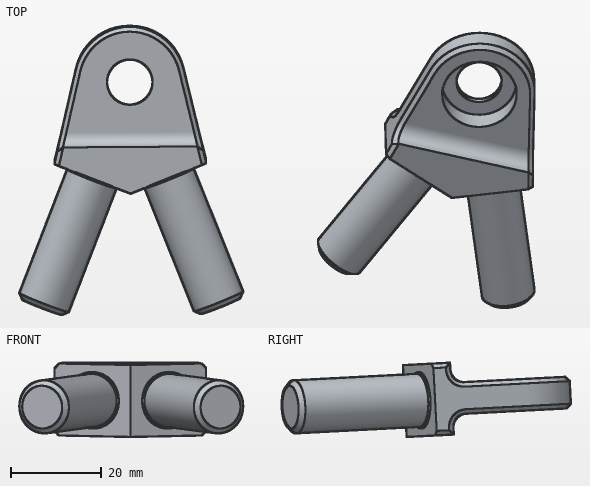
import cadquery as cq
import math

eye_diameter = 10.0
eye_lip = 1.5
recess_diameter = 16.5
lug_radius = 12.25
lug_thickness = 7.05
side_taper = 13.5

block_thickness = 16.0
block_half_width = 16.8
block_back_y = -14.1
apex_y = -24.5
neck_fillet = 2.95
edge_chamfer = 1.0

splay = 21.5
peg_diameter = 11.8
peg_length = 30.9
peg_offset = 9.05
peg_chamfer = 1.15
peg_root_flare = 0.4

pitch = 3.0
yaw = 0.4

splay_angle = math.radians(splay)
taper_angle = math.radians(side_taper)


def make_outline():
    """Full-height prism of the plan outline."""
    tangent_x = lug_radius * math.cos(taper_angle)
    tangent_y = lug_radius * math.sin(taper_angle)
    corner_y = apex_y + block_half_width * math.tan(splay_angle)
    return (
        cq.Workplane("XY")
        .moveTo(tangent_x, tangent_y)
        .threePointArc((0, lug_radius), (-tangent_x, tangent_y))
        .lineTo(-block_half_width, corner_y)
        .lineTo(0, apex_y)
        .lineTo(block_half_width, corner_y)
        .close()
        .extrude(block_thickness / 2, both=True)
    )


def make_relief(side):
    """Material removed above (side=1) or below (side=-1) the lug."""
    reach = 2 * lug_radius
    lug_z = side * lug_thickness / 2
    outer_z = side * block_thickness
    fillet_z = lug_z + side * neck_fillet
    fillet_y = block_back_y + neck_fillet
    bend = neck_fillet * (1 - math.sqrt(0.5))
    return (
        cq.Workplane("YZ")
        .moveTo(reach, lug_z)
        .lineTo(fillet_y, lug_z)
        .threePointArc((block_back_y + bend, lug_z + side * bend), (block_back_y, fillet_z))
        .lineTo(block_back_y, outer_z)
        .lineTo(reach, outer_z)
        .close()
        .extrude(2 * block_half_width, both=True)
    )


def is_wall_end(edge):
    """True for the upright edges at either end of a flat side wall."""
    box = edge.BoundingBox()
    tolerance = 0.005
    is_upright = box.ylen < tolerance
    return is_upright and abs(box.center.y - block_back_y) > tolerance


def make_body():
    """Lug and block with chamfered outer edges and the recessed eye."""
    body = make_outline().cut(make_relief(1)).cut(make_relief(-1))
    side_walls = body.faces("<X or >X or >Y")
    rim = side_walls.edges().filter(lambda edge: not is_wall_end(edge))
    body = rim.chamfer(edge_chamfer)
    return body.cut(make_eye())


def make_eye():
    """Eye bore through the lug and the wider recess below its lip."""
    lug_top = cq.Workplane("XY").workplane(offset=lug_thickness / 2)
    bore = lug_top.circle(eye_diameter / 2).extrude(-lug_thickness)
    recess_depth = lug_thickness - eye_lip
    lug_bottom = cq.Workplane("XY").workplane(offset=-lug_thickness / 2)
    recess = lug_bottom.circle(recess_diameter / 2).extrude(recess_depth)
    return bore.union(recess)


def make_peg(side):
    """Peg on the right (side=1) or left (side=-1) slanted face, flared at its root."""
    direction = cq.Vector(side * math.sin(splay_angle), -math.cos(splay_angle), 0)
    along_face = cq.Vector(side * math.cos(splay_angle), math.sin(splay_angle), 0)
    base = cq.Vector(0, apex_y, 0) + along_face * peg_offset
    radius = peg_diameter / 2
    plane = cq.Plane(origin=base.toTuple(), xDir=along_face.toTuple(), normal=direction.toTuple())
    peg = cq.Workplane(plane).circle(radius).extrude(peg_length).faces("<Y").chamfer(peg_chamfer)
    flare = cq.Workplane(plane).circle(radius + peg_root_flare).extrude(peg_root_flare, taper=45)
    return peg.union(flare)


result = make_body()
for side in (1, -1):
    result = result.union(make_peg(side))
result = result.rotate((0, 0, 0), (1, 0, 0), pitch).rotate((0, 0, 0), (0, 0, 1), yaw)